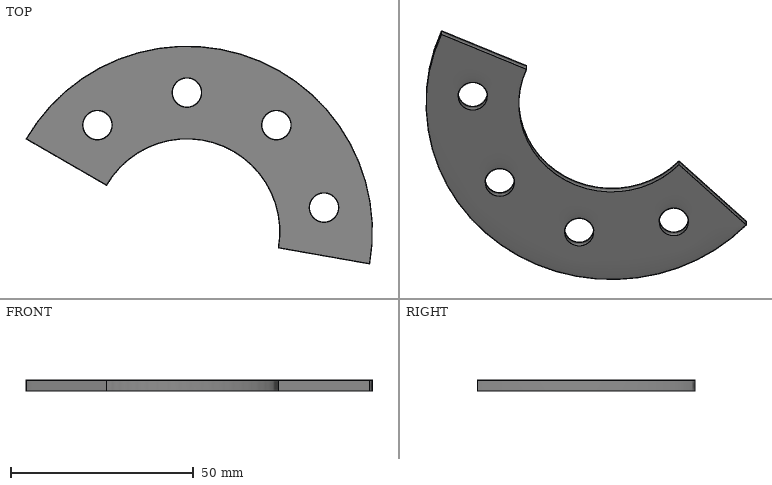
import cadquery as cq
import math

overall_width = 94.8
thickness = 3.0
start_angle = -10.0
end_angle = 150.0
hole_diameter = 8.0
hole_count = 4
first_hole_angle = 10.0
hole_pitch_angle = 40.0

outer_radius = overall_width / (1 - math.cos(math.radians(end_angle)))
inner_radius = outer_radius / 2
hole_circle_radius = (outer_radius + inner_radius) / 2


def polar_point(radius, angle):
    """Point at a radius and an angle in degrees about the ring centre."""
    radians = math.radians(angle)
    return (radius * math.cos(radians), radius * math.sin(radians))


def ring_sector():
    """Flat plate bounded by two concentric arcs and two radial ends."""
    middle_angle = (start_angle + end_angle) / 2
    return (
        cq.Workplane("XY")
        .moveTo(*polar_point(inner_radius, start_angle))
        .lineTo(*polar_point(outer_radius, start_angle))
        .threePointArc(polar_point(outer_radius, middle_angle), polar_point(outer_radius, end_angle))
        .lineTo(*polar_point(inner_radius, end_angle))
        .threePointArc(polar_point(inner_radius, middle_angle), polar_point(inner_radius, start_angle))
        .close()
        .extrude(thickness)
    )


def bolt_holes():
    """Cylinders for the through holes, evenly spaced midway across the ring."""
    centres = [
        polar_point(hole_circle_radius, first_hole_angle + index * hole_pitch_angle)
        for index in range(hole_count)
    ]
    return cq.Workplane("XY").pushPoints(centres).circle(hole_diameter / 2).extrude(thickness)


result = ring_sector().cut(bolt_holes())